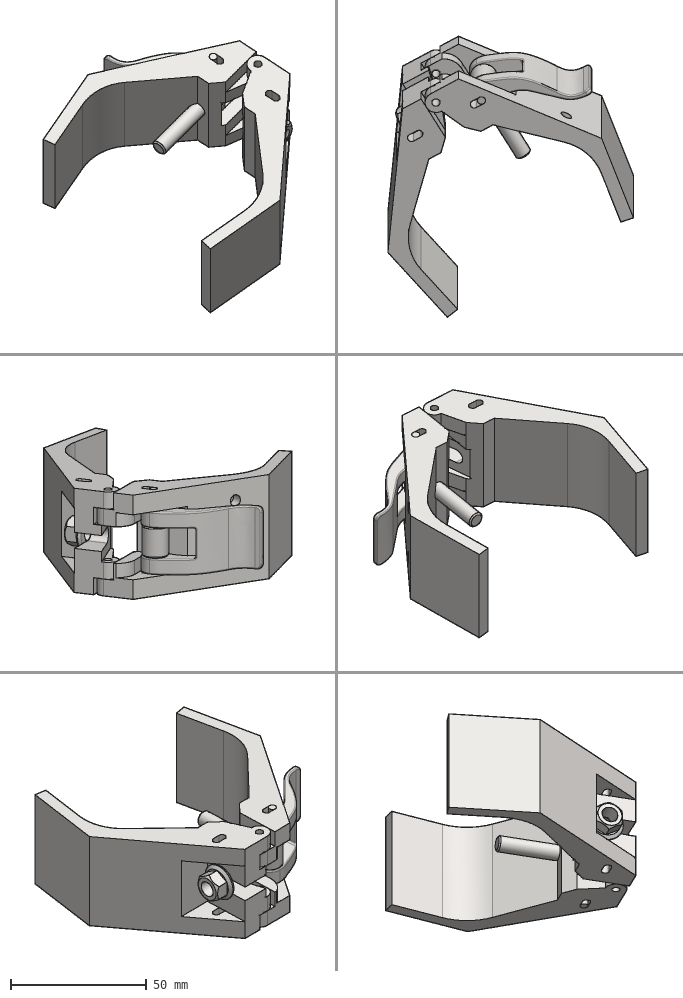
import cadquery as cq
import math


jaw_height = 40.0
knuckle_radius = 4.0
hinge_hole_diameter = 3.0
window_height = 14.0
knuckle_height = (jaw_height - window_height) / 4
top_corner_x = 12.0
elbow_x = 45.7
elbow_y = -43.3
tip_y = -76.9
leg_angle = math.radians(10)
leg_thickness = 5.0
elbow_inner_radius = 20.0
nose_outer_x = 13.7
nose_inner_x = 8.5
nose_y = -18.4
nose_corner_y = nose_y + nose_inner_x - knuckle_radius
reach = 57.5

pocket_height = 24.9
pocket_floor_y = -15.0
lever_wall_x = 9.3
lever_wall_radius = 8.0
lever_wall_arc_y = -3.1
nut_wall_x = 11.9
window_wall_top_x = 0.8
window_wall_angle = math.radians(15)
bolt_slot_width = 6.1
pivot_slot_length = 6.0
pivot_slot_width = 3.0
pivot_x = 13.4
pivot_y = -7.8
side_hole_diameter = 4.2
side_hole_depth = 5.0
side_hole_y = -31.6
side_hole_spacing = 24.0

bolt_diameter = 6.0
bolt_x = -13.3
bolt_end_y = -41.9
bolt_chamfer = 0.6
barrel_diameter = 10.0
barrel_chamfer = 0.6
pin_diameter = pivot_slot_width
pin_x = -pivot_x - (pivot_slot_length - pivot_slot_width) / 2
nut_y = -8.2
nut_width = 10.0
nut_end_x = 19.4
nut_chamfer = 1.15
flange_diameter = 14.2
flange_height = 2.2
rim_height = 1.15
rim_fillet = 1.0

lever_width = 24.0
hub_x = -15.05
hub_y = -9.2
hub_radius = 5.3
hub_leave_angle = math.radians(250)
tip_outer_y = -26.7
tip_thickness = 2.1
tip_bend_x = -47.55
outer_turn = (-39.2, -21.5)
outer_flank_angle = math.radians(60)
outer_bow = [(-35.4, -15.6), (-29.5, -9.6), (-19.75, -5.0)]
inner_flank_high = (-30.7, -16.7)
inner_flank_low = (-39.9, -25.7)
inner_bow = (-24.7, -13.6)
fork_gap = 11.9
fork_corner_radius = 0.8
fork_edge_fillet = 0.4
fork_end_x = -30.6
lever_tip_x = -50.1
lever_tip_radius = 2.0
lever_edge_fillet = 0.5


def extrude_centred(sketch, height):
    return sketch.extrude(height).translate((0, 0, -height / 2))


def box_between(x_low, x_high, y_low, y_high, height):
    middle = ((x_low + x_high) / 2, (y_low + y_high) / 2, 0)
    return cq.Workplane("XY").box(x_high - x_low, y_high - y_low, height).translate(middle)



def jaw_plate():
    """Jaw outline with a straight hinge-side edge one knuckle radius from the hinge axis."""
    leg_drop = elbow_y - tip_y
    tip_x = elbow_x - leg_drop * math.tan(leg_angle)
    inner_tip = (tip_x - leg_thickness * math.cos(leg_angle), tip_y + leg_thickness * math.sin(leg_angle))

    leg_slope = math.tan(leg_angle)
    inner_face_offset = nose_y + nose_outer_x
    rise = (inner_face_offset - inner_tip[0] - inner_tip[1]) / (1 + leg_slope)
    corner = (inner_tip[0] + rise * leg_slope, inner_tip[1] + rise)
    turn = math.radians(45) + leg_angle
    tangent_length = elbow_inner_radius * math.tan(turn / 2)
    diagonal = tangent_length / math.sqrt(2)
    arc_start = (
        corner[0] - tangent_length * math.sin(leg_angle),
        corner[1] - tangent_length * math.cos(leg_angle),
    )
    arc_end = (corner[0] - diagonal, corner[1] + diagonal)

    outline = (
        cq.Workplane("XY")
        .moveTo(knuckle_radius, knuckle_radius)
        .lineTo(top_corner_x, knuckle_radius)
        .lineTo(elbow_x, elbow_y)
        .lineTo(tip_x, tip_y)
        .lineTo(*inner_tip)
        .lineTo(*arc_start)
        .radiusArc(arc_end, -elbow_inner_radius)
        .lineTo(nose_outer_x, nose_y)
        .lineTo(nose_inner_x, nose_y)
        .lineTo(knuckle_radius, nose_corner_y)
        .close()
    )
    return extrude_centred(outline, jaw_height)


def knuckle(z_low):
    """Half-round hinge knuckle with the web that joins it to the jaw plate."""
    return (
        cq.Workplane("XY", origin=(0, 0, z_low))
        .moveTo(knuckle_radius, knuckle_radius)
        .lineTo(0, knuckle_radius)
        .threePointArc((-knuckle_radius, 0), (0, -knuckle_radius))
        .lineTo(knuckle_radius, nose_corner_y)
        .close()
        .extrude(knuckle_height)
    )


def jaw_blank(knuckle_bottoms):
    """Jaw plate with its knuckles, drilled for the hinge."""
    jaw = jaw_plate()
    for z_low in knuckle_bottoms:
        jaw = jaw.union(knuckle(z_low))
    hinge_hole = extrude_centred(cq.Workplane("XY").circle(hinge_hole_diameter / 2), jaw_height)
    return jaw.cut(hinge_hole)


def pivot_slots():
    """Slots for the lever pins, from the top and bottom faces down to the pocket."""
    slots = extrude_centred(
        cq.Workplane("XY").center(pivot_x, pivot_y).slot2D(pivot_slot_length, pivot_slot_width), jaw_height
    )
    return slots.cut(box_between(0, reach, nose_y, knuckle_radius, pocket_height))


def lever_pocket():
    """Pocket for the lever hub, open to the outer face, with a wall rounded towards the top."""
    arc_centre_x = lever_wall_x - lever_wall_radius
    arc_rise = knuckle_radius - lever_wall_arc_y
    arc_end_x = arc_centre_x + math.sqrt(lever_wall_radius ** 2 - arc_rise ** 2)
    outline = (
        cq.Workplane("XY")
        .moveTo(lever_wall_x, pocket_floor_y)
        .lineTo(lever_wall_x, lever_wall_arc_y)
        .radiusArc((arc_end_x, knuckle_radius), -lever_wall_radius)
        .lineTo(reach, knuckle_radius)
        .lineTo(reach, pocket_floor_y)
        .close()
    )
    return extrude_centred(outline, pocket_height)


def side_holes():
    """Two blind holes square to the sloping outer face."""
    slope_x = elbow_x - top_corner_x
    slope_y = elbow_y - knuckle_radius
    hole_x = top_corner_x + slope_x * (side_hole_y - knuckle_radius) / slope_y
    inward = cq.Vector(slope_y, -slope_x, 0)
    holes = []
    for z in (-side_hole_spacing / 2, side_hole_spacing / 2):
        mouth = cq.Vector(hole_x, side_hole_y, z)
        holes.append(cq.Solid.makeCylinder(side_hole_diameter / 2, side_hole_depth, mouth, inward))
    return holes


def make_left_jaw():
    """Jaw with the lever pocket, mirrored to the -X side when finished."""
    jaw = jaw_blank([-jaw_height / 2, window_height / 2])
    jaw = jaw.cut(box_between(0, reach, pocket_floor_y, knuckle_radius, window_height))
    jaw = jaw.cut(lever_pocket())
    jaw = jaw.cut(pivot_slots())
    for hole in side_holes():
        jaw = jaw.cut(cq.Workplane(hole))
    bolt_hole = cq.Workplane("XZ").center(-bolt_x, 0).circle(bolt_diameter / 2).extrude(reach)
    return jaw.cut(bolt_hole).mirror("YZ")


def make_right_jaw():
    """Jaw with the bolt slot and the seat of the nut."""
    jaw = jaw_blank([-window_height / 2 - knuckle_height, jaw_height / 2 - knuckle_height])

    wall_foot_x = window_wall_top_x + (knuckle_radius - pocket_floor_y) * math.tan(window_wall_angle)
    wall_fill = extrude_centred(
        cq.Workplane("XY").polyline([
            (window_wall_top_x, knuckle_radius),
            (nose_inner_x, knuckle_radius),
            (nose_inner_x, pocket_floor_y),
            (wall_foot_x, pocket_floor_y),
        ]).close(),
        window_height,
    )
    window_cut = extrude_centred(
        cq.Workplane("XY").polyline([
            (window_wall_top_x, knuckle_radius),
            (wall_foot_x, pocket_floor_y),
            (0, pocket_floor_y),
        ]).close(),
        window_height,
    )
    jaw = jaw.union(wall_fill).cut(window_cut)

    bolt_slot = box_between(0, reach, pivot_y, knuckle_radius, bolt_slot_width)
    slot_end = cq.Workplane("YZ").center(pivot_y, 0).circle(bolt_slot_width / 2).extrude(reach)
    nut_floor_y = nut_y - flange_diameter / 2
    nut_pocket = box_between(nut_wall_x, reach, nut_floor_y, knuckle_radius, pocket_height)
    return jaw.cut(bolt_slot).cut(slot_end).cut(nut_pocket).cut(pivot_slots())



def make_lever():
    """Curved lever with a round forked hub."""
    hub_top = (hub_x, hub_y + hub_radius)
    hub_right = (hub_x + hub_radius, hub_y)
    leave_x = math.cos(hub_leave_angle)
    leave_y = math.sin(hub_leave_angle)
    hub_leave = (hub_x + hub_radius * leave_x, hub_y + hub_radius * leave_y)
    leaving = (leave_y, -leave_x)
    outer_flank = (math.cos(outer_flank_angle), math.sin(outer_flank_angle))
    inner_flank = (inner_flank_low[0] - inner_flank_high[0], inner_flank_low[1] - inner_flank_high[1])
    tip_inner_y = tip_outer_y - tip_thickness
    outline = (
        cq.Workplane("XY")
        .moveTo(lever_tip_x, tip_outer_y)
        .lineTo(tip_bend_x, tip_outer_y)
        .spline([outer_turn], tangents=[(1, 0), outer_flank], includeCurrent=True)
        .spline([*outer_bow, hub_top], tangents=[outer_flank, (1, 0)], includeCurrent=True)
        .threePointArc(hub_right, hub_leave)
        .spline([inner_bow, inner_flank_high], tangents=[leaving, inner_flank], includeCurrent=True)
        .lineTo(*inner_flank_low)
        .spline([(lever_tip_x, tip_inner_y)], tangents=[inner_flank, (-1, 0)], includeCurrent=True)
        .close()
    )
    lever = extrude_centred(outline, lever_width)
    lever = lever.edges("|Y and <X").fillet(lever_tip_radius)
    lever = lever.faces("<Z or >Z or <X").edges().fillet(lever_edge_fillet)
    fork = box_between(fork_end_x, 0, bolt_end_y, knuckle_radius, fork_gap)
    lever = lever.cut(fork.edges("|Y and <X").fillet(fork_corner_radius))
    lever = lever.faces("|Z").faces("not(<Z or >Z)").edges("not(|Y)").fillet(fork_edge_fillet)
    pin_hole = cq.Workplane("XY").center(pin_x, pivot_y).circle(pin_diameter / 2)
    return lever.cut(extrude_centred(pin_hole, lever_width))



def make_bolt():
    """Round bolt hanging from the barrel along -Y."""
    bolt = (
        cq.Workplane("XZ", origin=(bolt_x, hub_y, 0))
        .circle(bolt_diameter / 2)
        .extrude(hub_y - bolt_end_y)
    )
    return bolt.faces("<Y").chamfer(bolt_chamfer)


def make_barrel():
    """Cross barrel between the fork prongs, bored halfway for the bolt."""
    barrel = extrude_centred(cq.Workplane("XY").center(hub_x, hub_y).circle(barrel_diameter / 2), fork_gap)
    barrel = barrel.faces("<Z or >Z").chamfer(barrel_chamfer)
    bolt_hole = (
        cq.Workplane("XZ", origin=(bolt_x, hub_y, 0))
        .circle(bolt_diameter / 2)
        .extrude(barrel_diameter)
    )
    return barrel.cut(bolt_hole)


def make_pin(side):
    """Lever pin from a fork prong to the jaw face on the given side, +1 top or -1 bottom."""
    pin_length = (jaw_height - fork_gap) / 2
    return (
        cq.Workplane("XY", origin=(pin_x, pivot_y, side * fork_gap / 2))
        .circle(pin_diameter / 2)
        .extrude(side * pin_length)
    )


def make_nut():
    """Hexagon nut with a round flange against the pocket wall."""
    seat = cq.Workplane("YZ", origin=(nut_wall_x, nut_y, 0))
    corner_diameter = nut_width / math.cos(math.pi / 6)
    nut_length = nut_end_x - nut_wall_x
    hexagon = seat.transformed(rotate=(0, 0, 90)).polygon(6, corner_diameter).extrude(nut_length)
    chamfered_bar = seat.circle(corner_diameter / 2).extrude(nut_length).faces(">X").chamfer(nut_chamfer)
    rim = seat.circle(flange_diameter / 2).extrude(rim_height).edges("<X").fillet(rim_fillet)
    cone = (
        seat.workplane(offset=rim_height)
        .circle(flange_diameter / 2)
        .workplane(offset=flange_height - rim_height)
        .circle(corner_diameter / 2)
        .loft()
    )
    bore = seat.circle(bolt_diameter / 2).extrude(nut_length)
    return hexagon.intersect(chamfered_bar).union(rim).union(cone).cut(bore)


left_jaw = make_left_jaw()
right_jaw = make_right_jaw()
lever = make_lever()
bolt = make_bolt()
barrel = make_barrel()
nut = make_nut()
pins = [make_pin(side).val() for side in (1, -1)]

result = cq.Compound.makeCompound([
    left_jaw.val(), right_jaw.val(), lever.val(), bolt.val(), barrel.val(), nut.val(), *pins,
])